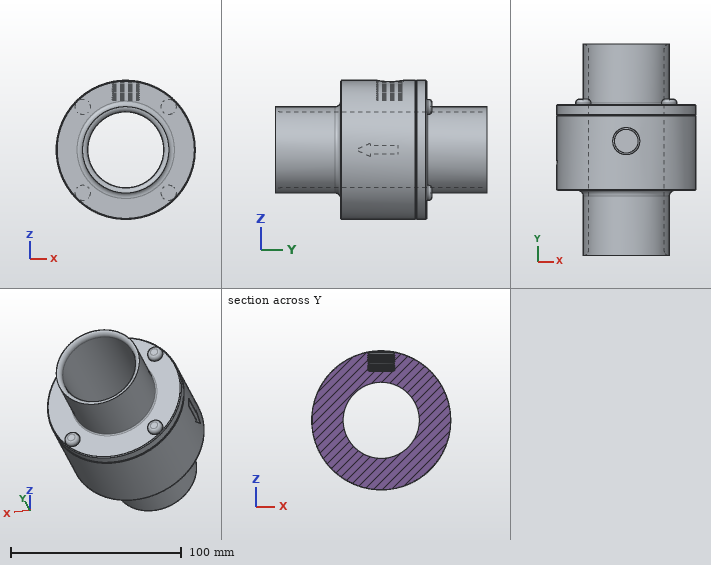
import cadquery as cq
import math

LENGTH = 124.0
BODY_RADIUS = 40.8
BODY_FRONT_Y = -23.8
COVER_JOINT_Y = 20.3
COVER_BACK_Y = 26.7
BODY_EDGE_CHAMFER = 0.6

PIPE_RADIUS = 25.3
BORE_RADIUS = 22.2
PIPE_WALL = PIPE_RADIUS - BORE_RADIUS
FRONT_FILLET = 3.2
BACK_FILLET = 0.7

JOINT_GROOVE_DEPTH = 0.5

SCREW_COUNT = 4
SCREW_CIRCLE_RADIUS = 35.6
FIRST_SCREW_ANGLE = 45
SCREW_HEAD_RADIUS = 4.5
SCREW_HEAD_HEIGHT = 3.1
SCREW_HEAD_ROUND = 2.2

PORT_Y = 5.1
PORT_MINOR_RADIUS = 7.0
PORT_MAJOR_RADIUS = 7.9
PORT_LEAD_IN_DEPTH = 0.9
THREAD_PITCH = 1.2
THREAD_TURNS = 9

ARROW_TAIL_Y = 9.9
ARROW_HEAD_Y = -6.2
ARROW_TIP_Y = -15.1
ARROW_SHAFT_HALF_WIDTH = 2.5
ARROW_HEAD_HALF_WIDTH = 4.0
ARROW_DEPTH = 0.2


def round_middle(radius, y, size, y_direction):
    """Middle of a quarter-round of the given size that replaces the corner at (radius, y)."""
    offset = size * (1 - math.sqrt(0.5))
    return (radius + offset, y + y_direction * offset)


def housing():
    """Body, cover and pipes turned about the Y axis; the profile is (radius, y)."""
    half = LENGTH / 2
    chamfer = BODY_EDGE_CHAMFER
    groove = JOINT_GROOVE_DEPTH
    profile = (
        cq.Workplane("XY")
        .moveTo(BORE_RADIUS, -half + PIPE_WALL)
        .threePointArc(
            round_middle(BORE_RADIUS, -half, PIPE_WALL, 1),
            (PIPE_RADIUS, -half),
        )
        .lineTo(PIPE_RADIUS, BODY_FRONT_Y - FRONT_FILLET)
        .threePointArc(
            round_middle(PIPE_RADIUS, BODY_FRONT_Y, FRONT_FILLET, -1),
            (PIPE_RADIUS + FRONT_FILLET, BODY_FRONT_Y),
        )
        .lineTo(BODY_RADIUS - chamfer, BODY_FRONT_Y)
        .lineTo(BODY_RADIUS, BODY_FRONT_Y + chamfer)
        .lineTo(BODY_RADIUS, COVER_JOINT_Y - groove)
        .lineTo(BODY_RADIUS - groove, COVER_JOINT_Y)
        .lineTo(BODY_RADIUS, COVER_JOINT_Y + groove)
        .lineTo(BODY_RADIUS, COVER_BACK_Y - chamfer)
        .lineTo(BODY_RADIUS - chamfer, COVER_BACK_Y)
        .lineTo(PIPE_RADIUS + BACK_FILLET, COVER_BACK_Y)
        .threePointArc(
            round_middle(PIPE_RADIUS, COVER_BACK_Y, BACK_FILLET, 1),
            (PIPE_RADIUS, COVER_BACK_Y + BACK_FILLET),
        )
        .lineTo(PIPE_RADIUS, half)
        .threePointArc(
            round_middle(BORE_RADIUS, half, PIPE_WALL, -1),
            (BORE_RADIUS, half - PIPE_WALL),
        )
        .close()
    )
    return profile.revolve(360, (0, 0, 0), (0, 1, 0))


def screw_heads():
    """Domed heads standing on the back of the cover, at the diagonals."""
    return (
        cq.Workplane("XZ", origin=(0, COVER_BACK_Y, 0))
        .polarArray(SCREW_CIRCLE_RADIUS, FIRST_SCREW_ANGLE, 360, SCREW_COUNT)
        .circle(SCREW_HEAD_RADIUS)
        .extrude(-SCREW_HEAD_HEIGHT)
        .faces(">Y")
        .edges()
        .fillet(SCREW_HEAD_ROUND)
    )


def threaded_port():
    """Cutting tool for the blind port: V-shaped thread rings below a plain lead-in."""
    thread_top_z = BODY_RADIUS - PORT_LEAD_IN_DEPTH
    floor_z = thread_top_z - THREAD_TURNS * THREAD_PITCH
    profile = cq.Workplane("XZ").moveTo(0, floor_z).lineTo(PORT_MINOR_RADIUS, floor_z)
    for turn in range(THREAD_TURNS):
        turn_z = floor_z + turn * THREAD_PITCH
        profile = profile.lineTo(PORT_MAJOR_RADIUS, turn_z + THREAD_PITCH / 2)
        profile = profile.lineTo(PORT_MINOR_RADIUS, turn_z + THREAD_PITCH)
    profile = (
        profile.lineTo(PORT_MAJOR_RADIUS, thread_top_z)
        .lineTo(PORT_MAJOR_RADIUS, BODY_RADIUS)
        .lineTo(0, BODY_RADIUS)
        .close()
    )
    return profile.revolve(360, (0, 0, 0), (0, 1, 0)).translate((0, PORT_Y, 0))


def flow_arrow():
    """Arrow toward -Y, following the round side at a constant depth."""
    outline = [
        (ARROW_TAIL_Y, ARROW_SHAFT_HALF_WIDTH),
        (ARROW_HEAD_Y, ARROW_SHAFT_HALF_WIDTH),
        (ARROW_HEAD_Y, ARROW_HEAD_HALF_WIDTH),
        (ARROW_TIP_Y, 0),
        (ARROW_HEAD_Y, -ARROW_HEAD_HALF_WIDTH),
        (ARROW_HEAD_Y, -ARROW_SHAFT_HALF_WIDTH),
        (ARROW_TAIL_Y, -ARROW_SHAFT_HALF_WIDTH),
    ]
    prism = cq.Workplane("YZ").polyline(outline).close().extrude(-BODY_RADIUS)
    core = (
        cq.Workplane("XZ")
        .circle(BODY_RADIUS - ARROW_DEPTH)
        .extrude(LENGTH / 2, both=True)
    )
    return prism.cut(core)


result = housing().union(screw_heads()).cut(threaded_port()).cut(flow_arrow())